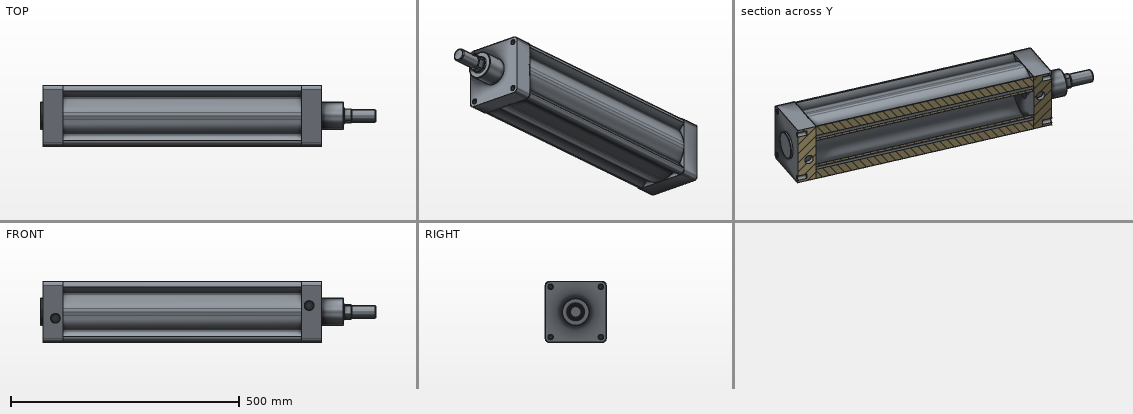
import cadquery as cq
import math

total_length = 735.0
cap_width = 134.0
cap_length = 44.0
rear_boss_length = 5.0
tube_length = 522.5
front_boss_length = 48.0

rear_cap_start = rear_boss_length
tube_start = rear_cap_start + cap_length
front_cap_start = tube_start + tube_length
front_cap_end = front_cap_start + cap_length
front_boss_end = front_cap_end + front_boss_length

cap_corner_radius = 9.0
boss_diameter = 60.0
boss_chamfer = 1.1
screw_pitch = 110.0
screw_hole_diameter = 9.5
screw_hole_depth = 22.0
port_diameter = 19.0
port_depth = 22.0
port_inset = 27.0
port_height = 14.0
hole_chamfer = 1.1
rear_port_x = rear_cap_start + port_inset
front_port_x = front_cap_end - port_inset

wiper_base_radius = 19.0
wiper_tip_radius = 17.0
wiper_length = 2.0

barrel_radius = 66.0
crest_half_angle = 6.6
bore_radius = 62.5
rib_corner_radius = 12.5
rib_root_fillet = 2.0

rod_radius = 16.0
thread_radius = 14.0
thread_chamfer = 2.0
thread_length = 54.5
wrench_flat_width = 26.5
wrench_flat_turn = 17.0
thread_start = total_length - thread_length
wrench_flat_start = front_boss_end + wiper_length


def cylinder_along_x(radius, start, end):
    return cq.Workplane("YZ", origin=(start, 0, 0)).circle(radius).extrude(end - start)


def cap_block(start):
    block = cq.Workplane("YZ", origin=(start, 0, 0)).rect(cap_width, cap_width).extrude(cap_length)
    return block.edges("|X").fillet(cap_corner_radius)


def chamfered_hole(diameter, depth, mouth, direction):
    """Blind hole to cut away, running from its chamfered mouth along the given direction."""
    radius = diameter / 2
    mouth_radius = radius + hole_chamfer
    bore = cq.Solid.makeCylinder(radius, depth, mouth, direction)
    countersink = cq.Solid.makeCone(mouth_radius, radius, hole_chamfer, mouth, direction)
    return cq.Workplane(bore).union(cq.Workplane(countersink))


def cut_screw_holes(cap, outer_face_x, inward):
    for y in (-screw_pitch / 2, screw_pitch / 2):
        for z in (-screw_pitch / 2, screw_pitch / 2):
            mouth = cq.Vector(outer_face_x, y, z)
            direction = cq.Vector(inward, 0, 0)
            cap = cap.cut(chamfered_hole(screw_hole_diameter, screw_hole_depth, mouth, direction))
    return cap


def cut_air_port(cap, x, z):
    mouth = cq.Vector(x, -cap_width / 2, z)
    return cap.cut(chamfered_hole(port_diameter, port_depth, mouth, cq.Vector(0, 1, 0)))


def build_rear_cap():
    cap = cap_block(rear_cap_start)
    boss = cylinder_along_x(boss_diameter / 2, 0, rear_cap_start)
    cap = cap.union(boss.faces("<X").chamfer(boss_chamfer))
    cap = cut_screw_holes(cap, rear_cap_start, 1)
    return cut_air_port(cap, rear_port_x, -port_height)


def build_front_cap():
    cap = cap_block(front_cap_start)
    boss = cylinder_along_x(boss_diameter / 2, front_cap_end, front_boss_end)
    cap = cap.union(boss.faces(">X").chamfer(boss_chamfer))
    wiper = cq.Workplane("YZ", origin=(front_boss_end, 0, 0)).circle(wiper_base_radius)
    wiper = wiper.workplane(offset=wiper_length).circle(wiper_tip_radius).loft()
    cap = cap.union(wiper)
    cap = cut_screw_holes(cap, front_cap_end, -1)
    cap = cut_air_port(cap, front_port_x, port_height)
    rod_bore = cylinder_along_x(rod_radius, front_cap_start, total_length)
    return cap.cut(rod_bore)


def corner_rib():
    """Rib in the +Y +Z corner, with sides parallel to the diagonal and a round outer edge."""
    outer = cap_width / 2
    centre = outer - rib_corner_radius
    arc_middle = centre + rib_corner_radius * math.cos(math.radians(45))
    return (
        cq.Workplane("YZ", origin=(tube_start, 0, 0))
        .moveTo(rib_corner_radius, 0)
        .lineTo(outer, centre)
        .threePointArc((arc_middle, arc_middle), (centre, outer))
        .lineTo(0, rib_corner_radius)
        .close()
        .extrude(tube_length)
    )


def side_crest():
    """Crest on the +Z side, formed by two planes tangent to the barrel that meet above its top."""
    angle = math.radians(crest_half_angle)
    tangent_y = barrel_radius * math.sin(angle)
    tangent_z = barrel_radius * math.cos(angle)
    crest_z = barrel_radius / math.cos(angle)
    return (
        cq.Workplane("YZ", origin=(tube_start, 0, 0))
        .polyline([(0, 0), (tangent_y, tangent_z), (0, crest_z), (-tangent_y, tangent_z)])
        .close()
        .extrude(tube_length)
    )


def rib_root_edges(tube):
    """Lengthwise edges where the rib sides meet the barrel."""
    off_diagonal = rib_corner_radius / math.sqrt(2)
    along_diagonal = math.sqrt(barrel_radius**2 - off_diagonal**2)
    near_y = (along_diagonal - off_diagonal) / math.sqrt(2)
    far_y = (along_diagonal + off_diagonal) / math.sqrt(2)
    middle_x = tube_start + tube_length / 2
    places = []
    for y, z in ((near_y, far_y), (far_y, near_y)):
        for y_side in (-1, 1):
            for z_side in (-1, 1):
                places.append(cq.Vector(middle_x, y_side * y, z_side * z))
    tolerance = 0.1
    return tube.edges("|X").filter(
        lambda edge: any((edge.Center() - place).Length < tolerance for place in places)
    )


def build_tube():
    tube = cylinder_along_x(barrel_radius, tube_start, front_cap_start)
    rib = corner_rib()
    crest = side_crest()
    for quarter in range(4):
        turn = 90 * quarter
        tube = tube.union(rib.rotate((0, 0, 0), (1, 0, 0), turn))
        tube = tube.union(crest.rotate((0, 0, 0), (1, 0, 0), turn))
    tube = rib_root_edges(tube).fillet(rib_root_fillet)
    return tube.cut(cylinder_along_x(bore_radius, tube_start, front_cap_start))


def build_rod():
    profile = (
        cq.Workplane("XY")
        .moveTo(front_cap_start, 0)
        .lineTo(front_cap_start, rod_radius)
        .lineTo(thread_start, rod_radius)
        .lineTo(thread_start, thread_radius - thread_chamfer)
        .lineTo(thread_start + thread_chamfer, thread_radius)
        .lineTo(total_length - thread_chamfer, thread_radius)
        .lineTo(total_length, thread_radius - thread_chamfer)
        .lineTo(total_length, 0)
        .close()
    )
    rod = profile.revolve(360, (0, 0, 0), (1, 0, 0))
    flat_length = thread_start - wrench_flat_start
    middle_x = wrench_flat_start + flat_length / 2
    cutter = cq.Workplane("XY").box(flat_length, rod_radius, 2 * rod_radius)
    for side in (-1, 1):
        middle_y = side * (wrench_flat_width + rod_radius) / 2
        rod = rod.cut(cutter.translate((middle_x, middle_y, 0)))
    return rod.rotate((0, 0, 0), (1, 0, 0), -wrench_flat_turn)


rear_cap = build_rear_cap()
tube = build_tube()
front_cap = build_front_cap()
piston_rod = build_rod()

result = cq.Compound.makeCompound([rear_cap.val(), tube.val(), front_cap.val(), piston_rod.val()])